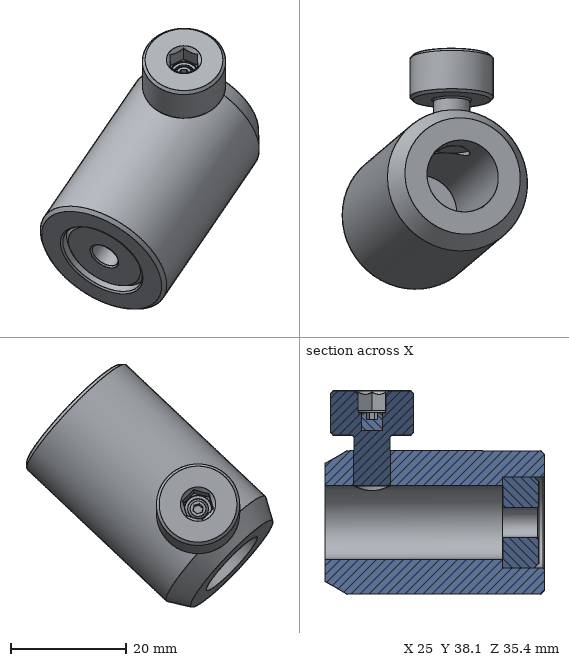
import cadquery as cq
import math


LENGTH = 38.1
HOUSING_R = 12.5
FOOT_CHAMFER = 0.65
NOSE_LENGTH = 3.8
NOSE_ANGLE = 30.0
NOSE_DROP = NOSE_LENGTH * math.tan(math.radians(NOSE_ANGLE))
POST_BORE_R = 6.35

PLUG_R = 7.85
PLUG_CHAMFER = 0.72
PLUG_SINK = 1.0
PLUG_THICKNESS = 6.3
PLUG_HOLE_R = 2.55
PLUG_HOLE_CHAMFER = 0.25
SEAT_CHAMFER = 0.3
SEAT_DEPTH = PLUG_SINK + PLUG_THICKNESS

SCREW_Y = LENGTH - 8.15
SCREW_TOP_Z = 22.9
HEAD_R = 7.25
HEAD_HEIGHT = 7.77
HEAD_CHAMFER = 0.5
HEAD_BOTTOM_Z = SCREW_TOP_Z - HEAD_HEIGHT
SHANK_R = 3.15
SHANK_FLARE = 0.3
SHANK_TIP_Z = POST_BORE_R

SOCKET_FLATS = 4.75
SOCKET_DEPTH = 3.45
COUNTERSINK_R = 3.05
COUNTERSINK_ANGLE = 45.0
SOCKET_FLOOR_R = 2.32
SOCKET_FLOOR_DEPTH = 0.4

SET_SCREW_R = 1.8
SET_SCREW_LENGTH = 3.05
SET_SCREW_CHAMFER = 0.42
SET_SCREW_FLATS = 1.6
SET_SCREW_SOCKET_DEPTH = 1.15
SET_SCREW_TOP_Z = SCREW_TOP_Z - SOCKET_DEPTH - SOCKET_FLOOR_DEPTH


def rod_y(radius, start, length):
    """Cylinder on the Y axis, from y = start towards +Y."""
    return cq.Workplane("XZ", origin=(0, start, 0)).circle(radius).extrude(-length)


def rod_z(radius, bottom, height):
    """Cylinder on the thumbscrew axis, from z = bottom upwards."""
    return cq.Workplane("XY", origin=(0, SCREW_Y, bottom)).circle(radius).extrude(height)


def cone_z(bottom_radius, top_radius, bottom, height):
    """Cone frustum on the thumbscrew axis."""
    axis_point = cq.Vector(0, SCREW_Y, bottom)
    return cq.Workplane(cq.Solid.makeCone(bottom_radius, top_radius, height, axis_point))


def hexagon_z(flats, bottom, height, turn=0.0):
    """Hexagonal prism on the thumbscrew axis; at turn = 0 two corners point along X."""
    corner_diameter = flats / math.cos(math.pi / 6)
    plane = cq.Workplane("XY", origin=(0, SCREW_Y, bottom)).transformed(rotate=(0, 0, turn))
    return plane.polygon(6, corner_diameter).extrude(height)


def make_housing():
    body = rod_y(HOUSING_R, 0, LENGTH)
    body = body.faces("<Y").chamfer(FOOT_CHAMFER)
    body = body.faces(">Y").chamfer(NOSE_LENGTH, NOSE_DROP)

    seat = rod_y(PLUG_R, 0, SEAT_DEPTH)
    body = body.cut(rod_y(POST_BORE_R, 0, LENGTH)).cut(seat)
    body = body.faces("<Y").edges(cq.selectors.RadiusNthSelector(0)).chamfer(SEAT_CHAMFER)

    screw_hole = rod_z(SHANK_R, 0, HOUSING_R)
    return body.cut(screw_hole)


def make_plug():
    plug = rod_y(PLUG_R, PLUG_SINK, PLUG_THICKNESS)
    plug = plug.faces("<Y").chamfer(PLUG_CHAMFER)
    plug = plug.cut(rod_y(PLUG_HOLE_R, PLUG_SINK, PLUG_THICKNESS))
    return plug.faces("<Y").edges(cq.selectors.RadiusNthSelector(0)).chamfer(PLUG_HOLE_CHAMFER)


def make_thumbscrew():
    head = rod_z(HEAD_R, HEAD_BOTTOM_Z, HEAD_HEIGHT).faces("<Z or >Z").chamfer(HEAD_CHAMFER)
    shank = rod_z(SHANK_R, SHANK_TIP_Z, HEAD_BOTTOM_Z - SHANK_TIP_Z)
    flare = cone_z(SHANK_R, SHANK_R + SHANK_FLARE, HEAD_BOTTOM_Z - SHANK_FLARE, SHANK_FLARE)
    screw = head.union(shank).union(flare)

    countersink_depth = COUNTERSINK_R / math.tan(math.radians(COUNTERSINK_ANGLE))
    countersink = cone_z(0, COUNTERSINK_R, SCREW_TOP_Z - countersink_depth, countersink_depth)
    hexagon = hexagon_z(SOCKET_FLATS, SCREW_TOP_Z - SOCKET_DEPTH, SOCKET_DEPTH)
    floor = rod_z(SOCKET_FLOOR_R, SET_SCREW_TOP_Z, SOCKET_FLOOR_DEPTH)
    set_screw_hole = rod_z(SET_SCREW_R, SET_SCREW_TOP_Z - SET_SCREW_LENGTH, SET_SCREW_LENGTH)
    return screw.cut(countersink).cut(hexagon).cut(floor).cut(set_screw_hole)


def make_set_screw():
    screw = rod_z(SET_SCREW_R, SET_SCREW_TOP_Z - SET_SCREW_LENGTH, SET_SCREW_LENGTH)
    screw = screw.faces(">Z").chamfer(SET_SCREW_CHAMFER)
    socket_bottom = SET_SCREW_TOP_Z - SET_SCREW_SOCKET_DEPTH
    return screw.cut(hexagon_z(SET_SCREW_FLATS, socket_bottom, SET_SCREW_SOCKET_DEPTH, turn=30))


housing = make_housing()
plug = make_plug()
thumbscrew = make_thumbscrew()
set_screw = make_set_screw()

bodies = [housing, plug, thumbscrew, set_screw]
result = cq.Compound.makeCompound([body.solids().val() for body in bodies])